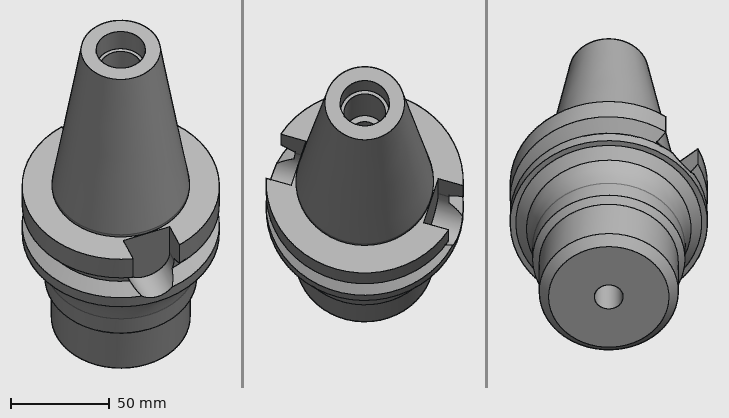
import cadquery as cq

total_height = 207.5
flange_radius = 50.0

nose_radius = 35.3
nose_chamfer = 4.8
nose_top_z = 31.7
collar_radius = 38.5
collar_bottom_z = nose_top_z + collar_radius - nose_radius
collar_top_z = 46.0

neck_top_radius = 41.7
neck_top_z = 62.6

flange_bottom_z = 68.0
flange_bottom_radius = neck_top_radius + flange_bottom_z - neck_top_z
groove_radius = 42.7
lower_rim_top_z = 74.9
groove_bottom_z = 79.2
groove_top_z = 85.7
upper_rim_bottom_z = 90.0
flange_top_z = 104.1

taper_base_z = 105.8
taper_base_radius = 34.8
taper_top_radius = 20.1

slot_width = 25.3
slot_floor_x = 35.0
slot_bottom_z = 71.8

through_radius = 7.3
thread_radius = 10.5
thread_bottom_depth = 41.5
counterbore_radius = 12.5
counterbore_depth = 13.0


def neck_arc_midpoint():
    """Midpoint of the neck arc, which runs tangent to the collar wall."""
    rise = neck_top_z - collar_top_z
    flare = neck_top_radius - collar_radius
    arc_radius = (rise**2 + flare**2) / (2 * flare)
    half_chord = (rise**2 + flare**2) ** 0.5 / 2
    sagitta = arc_radius - (arc_radius**2 - half_chord**2) ** 0.5
    mid_radius = collar_radius + flare / 2 - sagitta * rise / (2 * half_chord)
    mid_z = collar_top_z + rise / 2 + sagitta * flare / (2 * half_chord)
    return mid_radius, mid_z


def make_body():
    """Revolve the half profile, drawn as (radius, height), about Z."""
    profile = (
        cq.Workplane("XZ")
        .lineTo(nose_radius - nose_chamfer, 0)
        .lineTo(nose_radius, nose_chamfer)
        .lineTo(nose_radius, nose_top_z)
        .lineTo(collar_radius, collar_bottom_z)
        .lineTo(collar_radius, collar_top_z)
        .threePointArc(neck_arc_midpoint(), (neck_top_radius, neck_top_z))
        .lineTo(flange_bottom_radius, flange_bottom_z)
        .lineTo(flange_radius, flange_bottom_z)
        .lineTo(flange_radius, lower_rim_top_z)
        .lineTo(groove_radius, groove_bottom_z)
        .lineTo(groove_radius, groove_top_z)
        .lineTo(flange_radius, upper_rim_bottom_z)
        .lineTo(flange_radius, flange_top_z)
        .lineTo(taper_base_radius, flange_top_z)
        .lineTo(taper_base_radius, taper_base_z)
        .lineTo(taper_top_radius, total_height)
        .lineTo(0, total_height)
        .close()
    )
    return profile.revolve(360, (0, 0, 0), (0, 1, 0))


def make_drive_slot():
    """Cutter for the +X slot: round at the bottom and open at the flange top."""
    half_width = slot_width / 2
    arc_center_z = slot_bottom_z + half_width
    return (
        cq.Workplane("YZ", origin=(slot_floor_x, 0, 0))
        .moveTo(-half_width, flange_top_z)
        .lineTo(-half_width, arc_center_z)
        .threePointArc((0, slot_bottom_z), (half_width, arc_center_z))
        .lineTo(half_width, flange_top_z)
        .close()
        .extrude(flange_radius)
    )


def make_bore_step(radius, depth):
    """Cylindrical cutter reaching down from the top face."""
    return cq.Workplane("XY", origin=(0, 0, total_height - depth)).circle(radius).extrude(depth)


result = make_body()

drive_slot = make_drive_slot()
for angle in (0, 180):
    result = result.cut(drive_slot.rotate((0, 0, 0), (0, 0, 1), angle))

bore_steps = (
    (through_radius, total_height),
    (thread_radius, thread_bottom_depth),
    (counterbore_radius, counterbore_depth),
)
for radius, depth in bore_steps:
    result = result.cut(make_bore_step(radius, depth))